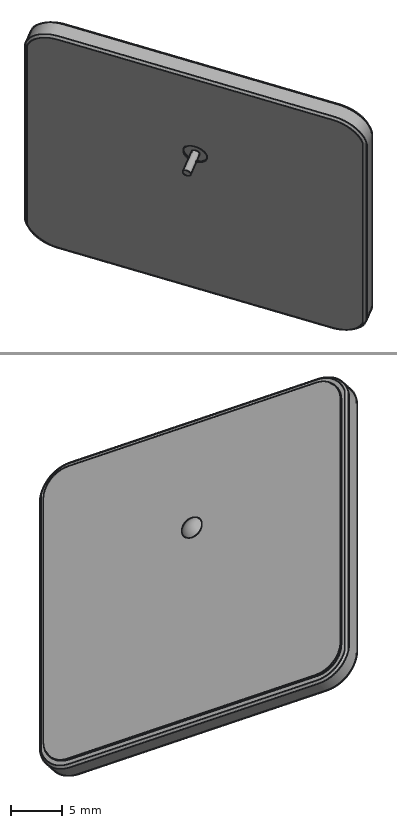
import cadquery as cq

plate_side = 35.5
plate_thickness = 2.0
corner_radius = 3.55
edge_chamfer = 0.25
side_step = 0.1

pad_inset = 0.75
pad_thickness = 0.25

axis_height = 5.0
pin_diameter = 0.85
pin_length = 2.4
recess_diameter = 2.5
recess_depth = 0.15
dome_diameter = 2.3
dome_height = 0.5

front_y = 0.0
back_y = front_y + plate_thickness
pad_back_y = back_y + pad_thickness


def rounded_square(side, radius, start_y, thickness):
    """Square slab with rounded corners, growing towards +Y from start_y."""
    slab = cq.Workplane("XZ", origin=(0, start_y, 0)).rect(side, side).extrude(-thickness)
    return slab.edges("|Y").fillet(radius)


def axis_cylinder(diameter, start_y, length):
    """Cylinder on the pin axis, growing towards +Y from start_y."""
    base = cq.Workplane("XZ", origin=(0, start_y, axis_height))
    return base.circle(diameter / 2).extrude(-length)


def make_plate():
    """Plate whose chamfered front and back rims are narrower in X than its middle."""
    core_thickness = plate_thickness - 2 * edge_chamfer
    core = rounded_square(plate_side, corner_radius, front_y + edge_chamfer, core_thickness)

    rim_width = plate_side - 2 * side_step
    bevelled_bar = cq.Workplane("XY").box(rim_width, plate_thickness, plate_side)
    bevelled_bar = bevelled_bar.edges("|Z").chamfer(edge_chamfer)
    bevelled_bar = bevelled_bar.translate((0, front_y + plate_thickness / 2, 0))

    rims = rounded_square(plate_side, corner_radius, front_y, plate_thickness)
    rims = rims.faces("<Y or >Y").edges().chamfer(edge_chamfer).intersect(bevelled_bar)
    return core.union(rims)


def make_pad():
    pad_side = plate_side - 2 * pad_inset
    pad_radius = corner_radius - pad_inset
    start_y = back_y - edge_chamfer
    return rounded_square(pad_side, pad_radius, start_y, pad_back_y - start_y)


def make_dome():
    """Spherical cap on the back of the pad."""
    dome_radius = dome_diameter / 2
    sphere_radius = (dome_radius**2 + dome_height**2) / (2 * dome_height)
    sphere_y = pad_back_y + dome_height - sphere_radius
    sphere = cq.Workplane("XY").sphere(sphere_radius).translate((0, sphere_y, axis_height))
    cap_zone = axis_cylinder(dome_diameter, back_y, pad_thickness + dome_height)
    return sphere.intersect(cap_zone)


recess = axis_cylinder(recess_diameter, front_y, recess_depth)
pin = axis_cylinder(pin_diameter, front_y - pin_length, pin_length + recess_depth)

result = make_plate().union(make_pad()).union(make_dome()).cut(recess).union(pin)